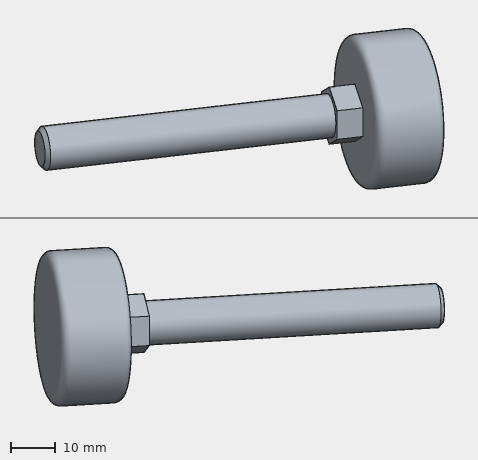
import cadquery as cq
import math

total_length = 90.0
disc_diameter = 35.0
disc_thickness = 16.0
disc_rounding = 2.0
hex_across_flats = 12.0
hex_length = 6.0
rod_diameter = 10.0
tip_chamfer = 1.0

hex_across_corners = hex_across_flats / math.cos(math.pi / 6)
disc_front = total_length - disc_thickness
rod_length = disc_front - hex_length


def plane_at(y):
    """Plane normal to +Y at the given Y, with its local x along +Z."""
    return cq.Plane(origin=(0, y, 0), xDir=(0, 0, 1), normal=(0, 1, 0))


def make_disc():
    """Round foot with both rims rounded."""
    disc = cq.Workplane(plane_at(disc_front)).circle(disc_diameter / 2).extrude(disc_thickness)
    return disc.edges("%CIRCLE").fillet(disc_rounding)


def make_stud():
    """Rod with a chamfered tip and a hexagonal collar resting on the disc, corners along Z."""
    rod = cq.Workplane(plane_at(0)).circle(rod_diameter / 2).extrude(rod_length)
    rod = rod.faces("<Y").chamfer(tip_chamfer)
    collar = cq.Workplane(plane_at(rod_length)).polygon(6, hex_across_corners).extrude(hex_length)
    return rod.union(collar)


disc = make_disc()
stud = make_stud()

result = cq.Compound.makeCompound([disc.val(), stud.val()])